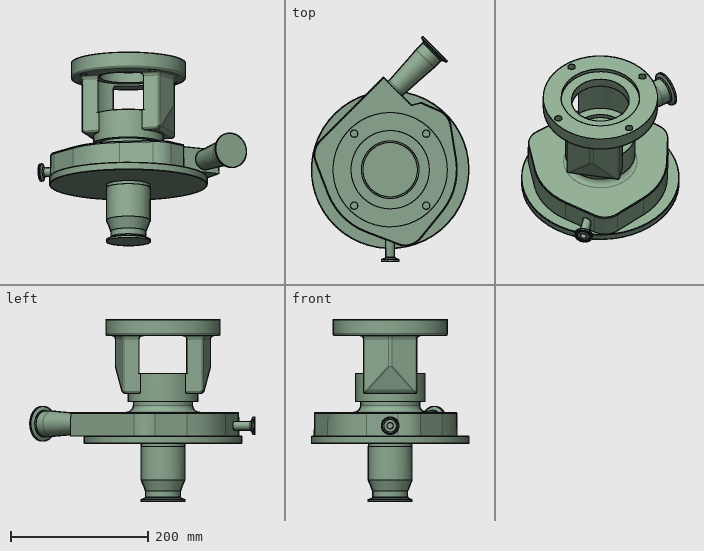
import cadquery as cq
import math

plate_diameter = 230.0
plate_thickness = 10.8
plate_edge_chamfer = 0.5

casing_top = 45.5
casing_draft_angle = 1.0
casing_rim_depth = 2.0
casing_rim_inset = 0.5
lobe_angles = (165, 285, 45)
lobe_radius = 29.2
lobe_center_distance = 84.5
casing_arc_radius = 97.7

outlet_angle = 45
outlet_face_distance = 88.5
outlet_face_right_offset = 44.5
outlet_shoulder_distance = 101.3
outlet_shoulder_offset = 37.0
outlet_axis_offset = 78.5
outlet_axis_height = 29.0
outlet_mouth_reach = 42.5
outlet_neck_radius = 14.8
outlet_embed = 6.5
outlet_cone_start = 91.0
outlet_pipe_radius = 18.7
outlet_cone_end = 150.5
outlet_end = 170.8
outlet_ferrule_diameter = 50.8
outlet_rim_width = 2.5

inlet_radius = 32.0
inlet_root_radius = 31.8
inlet_root_length = 4.5
inlet_cone_start = 52.8
inlet_cone_end = 69.2
inlet_tube_radius = 25.5
inlet_end = 84.3
inlet_rim_width = 2.5
ferrule_lip = 2.0

port_height = 26.0
port_tube_radius = 6.5
port_bore_radius = 4.5
port_ferrule_radius = 12.8
port_start = 65.5
port_end = 133.8
port_rim_width = 3.0
port_groove_inner_radius = 9.2
port_groove_outer_radius = 11.0
port_groove_depth = 1.0

neck_radius = 43.3
neck_fillet = 10.2
hub_radius = 50.8
hub_bottom = 61.0
hub_top = 102.3
hub_pocket_radius = 39.7
hub_pocket_depth = 6.5

flange_radius = 83.3
flange_top = 180.7
flange_thickness = 23.5
flange_edge_fillet = 3.0
flange_bore_radius = 42.0
flange_recess_radius = 57.0
flange_recess_depth = 6.0
flange_hole_radius = 5.2
flange_hole_offset = 52.5

arm_half_width = 39.0
arm_shoulder = 58.7
arm_ridge = 69.5
arm_ridge_half_width = 2.5
arm_bottom = 72.8
arm_ramp_top = 112.0
arm_ramp_toe = 59.0
arm_inner_radius = 52.0
arm_inner_top = 160.0
arm_side_fillet = 2.3
arm_bottom_fillet = 7.2
arm_underside_fillet = 3.0
arm_root_fillet = 4.5

flange_bottom = flange_top - flange_thickness
half_turn = 180
quarter_turn = 90
half_lobe_spacing = (lobe_angles[1] - lobe_angles[0]) / 2
selection_margin = 0.3


def polar(radius, degrees, center=(0, 0)):
    """Point at a radius and angle about a center."""
    angle = math.radians(degrees)
    return (center[0] + radius * math.cos(angle), center[1] + radius * math.sin(angle))


def along_outlet(distance, offset):
    """Plan point a distance along the outlet direction, offset to its left."""
    return polar(offset, outlet_angle + quarter_turn, polar(distance, outlet_angle))


def turned(plane, profile):
    """Solid of revolution about the plane's normal from (radius, height) points."""
    closed = [(0, profile[0][1])] + profile + [(0, profile[-1][1])]
    axis_plane = cq.Plane(origin=plane.origin, xDir=plane.xDir, normal=-plane.yDir)
    return cq.Workplane(axis_plane).polyline(closed).close().revolve(360, (0, 0), (0, 1))


def ferrule(tube_radius, rim_radius, end, rim_width):
    """Profile points of a clamp ferrule: small flare, conical back and flat rim."""
    back = end - rim_width
    return [
        (tube_radius, back - 2 * ferrule_lip),
        (tube_radius + ferrule_lip / 2, back - ferrule_lip),
        (rim_radius, back),
        (rim_radius, end),
    ]


def disc(radius, start, end):
    """Upright cylinder about the shaft axis between two heights."""
    return cq.Workplane("XY").workplane(offset=start).circle(radius).extrude(end - start)


def back_plate():
    plate = disc(plate_diameter / 2, 0, plate_thickness)
    return plate.edges().chamfer(plate_edge_chamfer)


def casing():
    tangent_angle = math.degrees(math.acos((casing_arc_radius - lobe_radius) / lobe_center_distance))
    centers = [polar(lobe_center_distance, angle) for angle in lobe_angles]
    block_normal = outlet_angle + quarter_turn
    block_left = lobe_radius + lobe_center_distance * math.cos(math.radians(lobe_angles[0] - block_normal))
    shoulder = along_outlet(outlet_shoulder_distance, outlet_shoulder_offset)

    reach_x = shoulder[0] - centers[-1][0]
    reach_y = shoulder[1] - centers[-1][1]
    touch = math.acos(lobe_radius / math.hypot(reach_x, reach_y))
    last_angle = math.degrees(math.atan2(reach_y, reach_x) - touch)

    lobe_starts = (block_normal, lobe_angles[1] - tangent_angle, lobe_angles[2] - tangent_angle)
    lobe_ends = (lobe_angles[0] + tangent_angle, lobe_angles[1] + tangent_angle, last_angle)

    outline = cq.Workplane("XY").moveTo(*along_outlet(outlet_face_distance, block_left))
    for index, center in enumerate(centers):
        start = lobe_starts[index]
        end = lobe_ends[index]
        outline = outline.lineTo(*polar(lobe_radius, start, center))
        outline = outline.threePointArc(
            polar(lobe_radius, (start + end) / 2, center), polar(lobe_radius, end, center)
        )
        if index < len(centers) - 1:
            mid_angle = lobe_angles[index] + half_lobe_spacing
            half_span = half_lobe_spacing - tangent_angle
            outline = outline.lineTo(*polar(casing_arc_radius, mid_angle - half_span))
            outline = outline.threePointArc(
                polar(casing_arc_radius, mid_angle), polar(casing_arc_radius, mid_angle + half_span)
            )
    outline = outline.lineTo(*shoulder).lineTo(*along_outlet(outlet_face_distance, outlet_face_right_offset))
    height = casing_top - plate_thickness
    body = outline.close().extrude(height, taper=casing_draft_angle)

    mouth = cq.Vector(*along_outlet(outlet_face_distance, outlet_axis_offset), height)
    rim = [
        edge
        for edge in body.faces(">Z").edges().vals()
        if edge.Center().sub(mouth).Length > outlet_mouth_reach
    ]
    return body.newObject(rim).chamfer(casing_rim_depth, casing_rim_inset).translate((0, 0, plate_thickness))


def outlet_pipe():
    x, y = along_outlet(0, outlet_axis_offset)
    plane = cq.Plane(origin=(x, y, outlet_axis_height), xDir=(0, 0, 1), normal=polar(1, outlet_angle) + (0,))
    profile = [
        (outlet_neck_radius, outlet_face_distance - outlet_embed),
        (outlet_neck_radius, outlet_cone_start),
        (outlet_pipe_radius, outlet_cone_end),
    ]
    profile += ferrule(outlet_pipe_radius, outlet_ferrule_diameter / 2, outlet_end, outlet_rim_width)
    return turned(plane, profile)


def inlet_pipe():
    plane = cq.Plane(origin=(0, 0, 0), xDir=(1, 0, 0), normal=(0, 0, -1))
    profile = [
        (inlet_root_radius, 0),
        (inlet_root_radius, inlet_root_length),
        (inlet_radius, inlet_root_length),
        (inlet_radius, inlet_cone_start),
        (inlet_tube_radius, inlet_cone_end),
    ]
    profile += ferrule(inlet_tube_radius, inlet_radius, inlet_end, inlet_rim_width)
    return turned(plane, profile)


def drain_port():
    port_plane = cq.Plane(origin=(0, 0, port_height), xDir=(1, 0, 0), normal=(0, -1, 0))
    profile = [(port_tube_radius, port_start)]
    profile += ferrule(port_tube_radius, port_ferrule_radius, port_end, port_rim_width)
    port = turned(port_plane, profile)
    face = cq.Workplane(port_plane).workplane(offset=port_end)
    groove = face.circle(port_groove_outer_radius).circle(port_groove_inner_radius)
    groove = groove.extrude(-port_groove_depth)
    bore = face.circle(port_bore_radius).extrude(port_start - port_end)
    return port.cut(groove).cut(bore)


def hub():
    neck = disc(neck_radius, plate_thickness, hub_top)
    collar = disc(hub_radius, hub_bottom, hub_top)
    fillet_skirt = (
        cq.Workplane("XZ")
        .moveTo(0, casing_top)
        .lineTo(neck_radius + neck_fillet, casing_top)
        .radiusArc((neck_radius, casing_top + neck_fillet), neck_fillet)
        .lineTo(0, casing_top + neck_fillet)
        .close()
        .revolve(360, (0, 0), (0, 1))
    )
    return neck.union(collar).union(fillet_skirt)


def arm():
    """Arm on the +Y side, with a roof-shaped outer face cut by a ramp."""
    section = [
        (-arm_half_width, 0),
        (arm_half_width, 0),
        (arm_half_width, arm_shoulder),
        (arm_ridge_half_width, arm_ridge),
        (-arm_ridge_half_width, arm_ridge),
        (-arm_half_width, arm_shoulder),
    ]
    height = flange_bottom - arm_bottom
    column = cq.Workplane("XY").workplane(offset=arm_bottom).polyline(section).close().extrude(height)
    ramp = (
        cq.Workplane("YZ")
        .polyline([(arm_ramp_toe, arm_bottom), (arm_ridge, arm_ramp_top), (arm_ridge, arm_bottom)])
        .close()
        .extrude(arm_half_width, both=True)
    )
    body = column.cut(ramp)
    body = body.edges("|Z").edges(">X or <X").edges(">Y").fillet(arm_side_fillet)
    body = body.faces("<Z").edges(">Y").fillet(arm_bottom_fillet)
    return body.faces("<Z").edges(">X or <X").fillet(arm_underside_fillet)


def flange_and_arms():
    flange = disc(flange_radius, flange_bottom, flange_top)
    flange = flange.faces("<Z").edges().fillet(flange_edge_fillet)
    body = flange.union(arm()).union(arm().rotate((0, 0, 0), (0, 0, 1), half_turn))
    underside = cq.selectors.BoxSelector(
        (-flange_radius, -flange_radius, flange_bottom - selection_margin),
        (flange_radius, flange_radius, flange_bottom + selection_margin),
    )
    roots = [edge for edge in body.faces(underside).edges().vals() if edge.geomType() == "LINE"]
    body = body.newObject(roots).fillet(arm_root_fillet)
    between_arms = disc(arm_inner_radius, hub_top, arm_inner_top)
    recess = disc(flange_recess_radius, flange_top - flange_recess_depth, flange_top)
    bore = disc(flange_bore_radius, hub_top, flange_top)
    holes = (
        cq.Workplane("XY")
        .workplane(offset=flange_top)
        .rect(2 * flange_hole_offset, 2 * flange_hole_offset, forConstruction=True)
        .vertices()
        .circle(flange_hole_radius)
        .extrude(-flange_thickness)
    )
    return body.cut(between_arms).cut(recess).cut(bore).cut(holes)


def hub_pocket():
    return disc(hub_pocket_radius, hub_top - hub_pocket_depth, hub_top)


result = flange_and_arms().union(hub()).union(back_plate()).union(casing())
result = result.union(outlet_pipe()).union(inlet_pipe()).union(drain_port())
result = result.cut(hub_pocket())